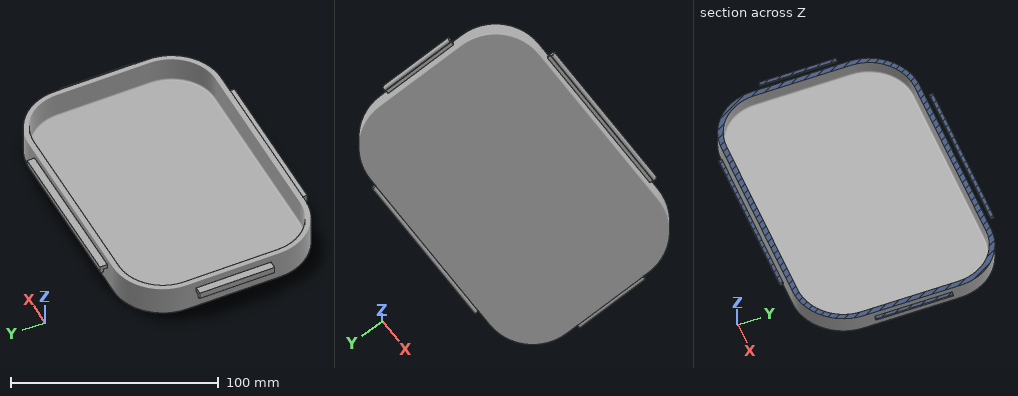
import cadquery as cq

overall_length = 154.0
overall_width = 111.0
height = 16.5
corner_radius = 26.5
wall = 3.0
floor_thickness = 3.0
floor_fillet = 1.0
bottom_edge_round = 0.5
rim_round = 0.2

rail_reach = 4.0
rail_drop_from_rim = 3.8
rail_arm_thickness = 2.3
rail_height = 4.2
lip_thickness = 2.0
long_rail_length = 80.1
short_rail_length = 40.0

body_length = overall_length - 2 * rail_reach
body_width = overall_width - 2 * rail_reach
rail_top = height - rail_drop_from_rim


def rounded_block(inset, bottom, top):
    """Block with rounded corners, set in evenly from the outside of the body."""
    return (
        cq.Workplane("XY", origin=(0, 0, bottom))
        .rect(body_length - 2 * inset, body_width - 2 * inset)
        .extrude(top - bottom)
        .edges("|Z")
        .fillet(corner_radius - inset)
    )


def make_tray():
    """Open tray with rounded rim and bottom edges and a fillet around the inner floor."""
    body = rounded_block(0, 0, height).faces("<Z").edges().fillet(bottom_edge_round)
    cavity = rounded_block(wall, floor_thickness, height)
    cavity = cavity.faces("<Z").edges().fillet(floor_fillet)
    return body.cut(cavity).faces(">Z").edges().fillet(rim_round)


def make_rail(length, wall_distance):
    """Rail on the +X wall: an arm reaching out to a hanging lip with a round end."""
    root = wall_distance - wall / 2
    outer = wall_distance + rail_reach
    lip_inner = outer - lip_thickness
    arm_bottom = rail_top - rail_arm_thickness
    rail_bottom = rail_top - rail_height
    round_start = rail_bottom + lip_thickness / 2
    return (
        cq.Workplane("XZ")
        .moveTo(root, rail_top)
        .lineTo(outer, rail_top)
        .lineTo(outer, round_start)
        .threePointArc((outer - lip_thickness / 2, rail_bottom), (lip_inner, round_start))
        .lineTo(lip_inner, arm_bottom)
        .lineTo(root, arm_bottom)
        .close()
        .extrude(length / 2, both=True)
    )


result = make_tray()
for angle in (0, 90, 180, 270):
    if angle % 180 == 0:
        rail = make_rail(short_rail_length, body_length / 2)
    else:
        rail = make_rail(long_rail_length, body_width / 2)
    result = result.union(rail.rotate((0, 0, 0), (0, 0, 1), angle))